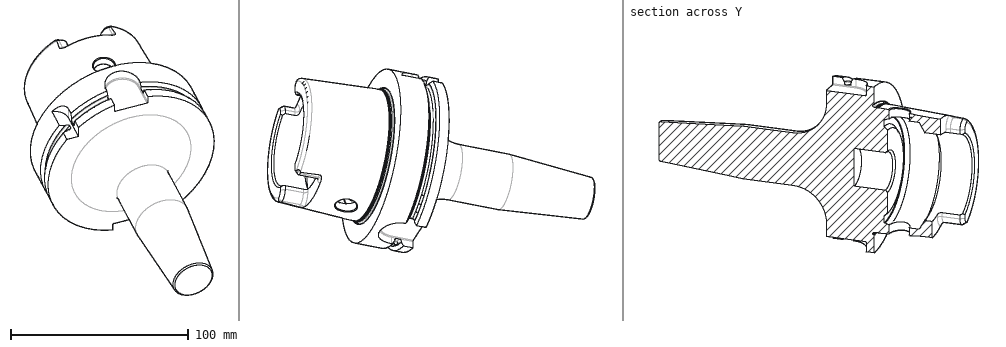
import cadquery as cq
import math


shank_length = 50.0
shank_tip_radius = 35.5
taper_ratio = 9.98
shank_tip_rounding = 2.0
taper_end = -2.7
relief_step = 0.6
relief_depth = 0.25

undercut_wall_radius = 38.9
undercut_chamfer = 0.4

flange_width = 29.0
flange_radius = 50.0
groove_center = 20.0
groove_mouth_half_width = 3.25
groove_throat_half_width = 1.95
groove_flank_angle = 30.0
groove_floor_radius = 46.0
groove_corner_radius = 1.1

nose_end = 130.0
nose_radius = 16.0
nose_tip_radius = 12.0
nose_taper_angle = 4.5
nose_blend_radius = 20.0
nose_tip_chamfer = 0.8

bore_radius = 26.3
bore_mouth_radius = 27.4
clamp_lip_end = -30.3
clamp_cone_angle = 60.0
chamber_radius = 32.0
chamber_end = -9.4
chamber_cone_end = -6.5
chamber_cone_radius = 31.0
boss_face = -8.0
boss_radius = 25.0
boss_chamfer = 2.0
thread_hole_radius = 11.2
thread_hole_mouth_radius = 12.4
thread_hole_depth = 20.0

drive_slot_half_width = 10.0
drive_slot_flare_radius = 5.0
drive_slot_flare_height = 31.7
drive_slot_floor_fillet = 2.0
drive_slot_mouth_chamfer = 2.2
drive_slot_mouth_flare_radius = 3.6
drive_slot_depth_top = 10.0
drive_slot_depth_bottom = 15.0

cross_hole_x = -15.0
cross_hole_radius = 6.0
cross_hole_chamfer = 0.5

keyway_start = 5.0
keyway_floor = 44.0
keyway_floor_fillet = 0.5
keyway_half_width_top = 10.0
keyway_half_width_bottom = 11.0
notch_offset = 31.7
notch_start = 4.9
notch_end_radius = 8.2


def outer_profile():
    """Half section of the turned outside, drawn as (X, radius)."""
    neck_radius = shank_tip_radius + (shank_length + taper_end) / (2 * taper_ratio)
    relief_radius = neck_radius - relief_depth
    undercut_fillet = undercut_wall_radius - neck_radius
    diagonal = math.sqrt(0.5)

    flank_depth = (groove_mouth_half_width - groove_throat_half_width) / math.tan(
        math.radians(groove_flank_angle)
    )
    throat_radius = flange_radius - flank_depth
    corner_top = groove_floor_radius + groove_corner_radius
    floor_half_width = groove_throat_half_width - groove_corner_radius
    corner_mid_half_width = floor_half_width + groove_corner_radius * diagonal
    corner_mid_radius = corner_top - groove_corner_radius * diagonal

    blend_center_x = flange_width + nose_blend_radius
    blend_center_radius = nose_radius + nose_blend_radius
    nose_taper_length = (nose_radius - nose_tip_radius) / math.tan(math.radians(nose_taper_angle))

    return (
        cq.Workplane("XY")
        .moveTo(-shank_length, 0)
        .lineTo(-shank_length, shank_tip_radius)
        .lineTo(taper_end, neck_radius)
        .lineTo(taper_end + relief_step, relief_radius)
        .lineTo(taper_end + 2 * relief_step, relief_radius)
        .lineTo(taper_end + 3 * relief_step, neck_radius)
        .lineTo(0, neck_radius)
        .threePointArc(
            (undercut_fillet * diagonal, undercut_wall_radius - undercut_fillet * diagonal),
            (undercut_fillet, undercut_wall_radius),
        )
        .lineTo(undercut_chamfer, undercut_wall_radius)
        .lineTo(0, undercut_wall_radius + undercut_chamfer)
        .lineTo(0, flange_radius)
        .lineTo(groove_center - groove_mouth_half_width, flange_radius)
        .lineTo(groove_center - groove_throat_half_width, throat_radius)
        .lineTo(groove_center - groove_throat_half_width, corner_top)
        .threePointArc(
            (groove_center - corner_mid_half_width, corner_mid_radius),
            (groove_center - floor_half_width, groove_floor_radius),
        )
        .lineTo(groove_center + floor_half_width, groove_floor_radius)
        .threePointArc(
            (groove_center + corner_mid_half_width, corner_mid_radius),
            (groove_center + groove_throat_half_width, corner_top),
        )
        .lineTo(groove_center + groove_throat_half_width, throat_radius)
        .lineTo(groove_center + groove_mouth_half_width, flange_radius)
        .lineTo(flange_width, flange_radius)
        .lineTo(flange_width, blend_center_radius)
        .threePointArc(
            (
                blend_center_x - nose_blend_radius * diagonal,
                blend_center_radius - nose_blend_radius * diagonal,
            ),
            (blend_center_x, nose_radius),
        )
        .lineTo(nose_end - nose_taper_length, nose_radius)
        .lineTo(nose_end, nose_tip_radius)
        .lineTo(nose_end, 0)
        .close()
    )


def turned_body():
    """Revolved outside with a chamfered nose tip and a rounded shank tip."""
    body = outer_profile().revolve(360, (0, 0, 0), (1, 0, 0))
    body = body.faces(">X").edges().chamfer(nose_tip_chamfer)
    return body.faces("<X").edges().fillet(shank_tip_rounding)


def shank_bore():
    """Blind bore: entry, wider clamping chamber, and a chamfered boss with a smaller hole."""
    mouth_chamfer = bore_mouth_radius - bore_radius
    clamp_cone_length = (chamber_radius - bore_radius) / math.tan(math.radians(clamp_cone_angle))
    thread_chamfer = thread_hole_mouth_radius - thread_hole_radius
    return (
        cq.Workplane("XY")
        .moveTo(-shank_length, 0)
        .lineTo(-shank_length, bore_mouth_radius)
        .lineTo(-shank_length + mouth_chamfer, bore_radius)
        .lineTo(clamp_lip_end, bore_radius)
        .lineTo(clamp_lip_end + clamp_cone_length, chamber_radius)
        .lineTo(chamber_end, chamber_radius)
        .lineTo(chamber_cone_end, chamber_cone_radius)
        .lineTo(boss_face + boss_chamfer, chamber_cone_radius)
        .lineTo(boss_face + boss_chamfer, boss_radius + boss_chamfer)
        .lineTo(boss_face, boss_radius)
        .lineTo(boss_face, thread_hole_mouth_radius)
        .lineTo(boss_face + thread_chamfer, thread_hole_radius)
        .lineTo(boss_face + thread_hole_depth, thread_hole_radius)
        .lineTo(boss_face + thread_hole_depth, 0)
        .close()
        .revolve(360, (0, 0, 0), (1, 0, 0))
    )


def drive_slot_outline(x, half_width, flare_radius):
    """Section of a shank slot at the given X; the wall arcs start at the same height at every X."""
    flare_start = drive_slot_flare_height - drive_slot_flare_radius
    flare_height = flare_start + flare_radius
    flare_half_width = half_width + flare_radius
    arc_mid_y = flare_half_width - flare_radius * math.sqrt(0.5)
    arc_mid_z = flare_start + flare_radius * math.sqrt(0.5)
    return (
        cq.Workplane("YZ", origin=(x, 0, 0))
        .moveTo(-half_width, 0)
        .lineTo(-half_width, flare_start)
        .threePointArc((-arc_mid_y, arc_mid_z), (-flare_half_width, flare_height))
        .lineTo(-flange_radius, flare_height)
        .lineTo(-flange_radius, flange_radius)
        .lineTo(flange_radius, flange_radius)
        .lineTo(flange_radius, flare_height)
        .lineTo(flare_half_width, flare_height)
        .threePointArc((arc_mid_y, arc_mid_z), (half_width, flare_start))
        .lineTo(half_width, 0)
        .close()
    )


def drive_slot(depth):
    """Cutter for one shank slot on the +Z side; its walls flare out over the rounded lips."""
    return (
        drive_slot_outline(-shank_length, drive_slot_half_width, drive_slot_flare_radius)
        .extrude(depth)
        .faces(">X")
        .edges("not(<Z or >Z or <Y or >Y)")
        .fillet(drive_slot_floor_fillet)
    )


def drive_slot_mouth():
    """Cutter that chamfers the shank-end edges of one slot on the +Z side."""
    outer = drive_slot_outline(
        -shank_length,
        drive_slot_half_width + drive_slot_mouth_chamfer,
        drive_slot_mouth_flare_radius,
    )
    inner = drive_slot_outline(
        -shank_length + drive_slot_mouth_chamfer,
        drive_slot_half_width,
        drive_slot_flare_radius,
    )
    return cq.Workplane(cq.Solid.makeLoft([outer.val(), inner.val()], True))


def cut_drive_slots(body):
    """Cut both shank slots and chamfer the mouth edges of their walls."""
    for depth, turn in ((drive_slot_depth_top, 0), (drive_slot_depth_bottom, 180)):
        for cutter in (drive_slot(depth), drive_slot_mouth()):
            body = body.cut(cutter.rotate((0, 0, 0), (1, 0, 0), turn))
    return body


def cut_cross_hole(body):
    """Drill radially through both shank walls and chamfer the outer rims."""
    drill = (
        cq.Workplane("XY", origin=(cross_hole_x, 0, -flange_radius))
        .circle(cross_hole_radius)
        .extrude(2 * flange_radius)
    )
    rim_zone_size = cross_hole_radius + cross_hole_chamfer
    body = body.cut(drill)
    for side in (-1, 1):
        rim_zone = cq.selectors.BoxSelector(
            (cross_hole_x - rim_zone_size, -rim_zone_size, side * shank_tip_radius),
            (cross_hole_x + rim_zone_size, rim_zone_size, side * flange_radius),
        )
        body = body.edges(rim_zone).chamfer(cross_hole_chamfer)
    return body


def keyway(half_width):
    """Cutter for one round-ended flange keyway on the +Z side."""
    end_center = keyway_start + half_width
    return (
        cq.Workplane("XY", origin=(0, 0, keyway_floor))
        .moveTo(flange_width, -half_width)
        .lineTo(end_center, -half_width)
        .threePointArc((keyway_start, 0), (end_center, half_width))
        .lineTo(flange_width, half_width)
        .close()
        .extrude(flange_radius)
        .faces("<Z")
        .edges("not >X")
        .fillet(keyway_floor_fillet)
    )


def corner_notch():
    """Cutter for the square notch at the -Y, +Z corner, with a rounded inner end."""
    end_center = notch_start + notch_end_radius
    diagonal = notch_end_radius * math.sqrt(0.5)
    arc_center_y = -notch_offset - notch_end_radius
    return (
        cq.Workplane("XY", origin=(0, 0, notch_offset))
        .moveTo(flange_width, -notch_offset)
        .lineTo(end_center, -notch_offset)
        .threePointArc((end_center - diagonal, arc_center_y + diagonal), (notch_start, arc_center_y))
        .lineTo(notch_start, -flange_radius)
        .lineTo(flange_width, -flange_radius)
        .close()
        .extrude(flange_radius)
    )


body = turned_body().cut(shank_bore())
body = cut_drive_slots(body)
body = cut_cross_hole(body)
body = body.cut(keyway(keyway_half_width_top))
body = body.cut(keyway(keyway_half_width_bottom).rotate((0, 0, 0), (1, 0, 0), 180))
result = body.cut(corner_notch())